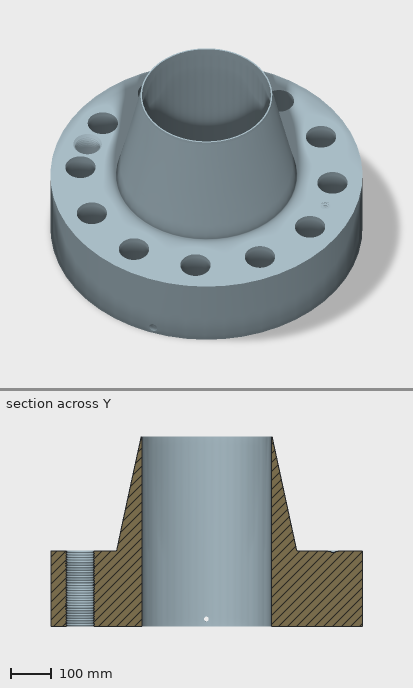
import cadquery as cq

flange_diameter = 762.0
flange_height = 185.0

total_height = 463.0
neck_diameter = 324.0
neck_tip_diameter = 321.5
neck_length = 7.0
bore_diameter = 315.0
hub_base_diameter = 441.0
hub_base_fillet = 2.0

pitch_radius = 308.5
bolt_count = 12
bolt_hole_diameter = 74.0
bolt_spacing = 360 / bolt_count

jack_major_diameter = 69.0
jack_minor_diameter = 62.5
jack_ring_count = 30
jack_thread_pitch = flange_height / jack_ring_count

plug_steps = [(26.0, 1.0), (21.0, 1.5), (10.0, 3.0)]

tap_height = 18.0
tap_hole_diameter = 11.5
tap_major_diameter = 21.0
tap_minor_diameter = 17.5
tap_thread_pitch = 2.0
tap_ring_count = 8


def make_body():
    """Revolve the flange, the tapered hub and the weld neck around Z."""
    bore_radius = bore_diameter / 2
    body = (
        cq.Workplane("XZ")
        .moveTo(bore_radius, 0)
        .lineTo(flange_diameter / 2, 0)
        .lineTo(flange_diameter / 2, flange_height)
        .lineTo(hub_base_diameter / 2, flange_height)
        .lineTo(neck_diameter / 2, total_height - neck_length)
        .lineTo(neck_tip_diameter / 2, total_height)
        .lineTo(bore_radius, total_height)
        .close()
        .revolve(360, (0, 0, 0), (0, 1, 0))
    )
    hub_corner = cq.selectors.RadiusNthSelector(-2)
    return body.edges("%CIRCLE").edges(hub_corner).fillet(hub_base_fillet)


def make_bolt_holes():
    """Full circle of through holes, straddling the X axis."""
    return (
        cq.Workplane("XY")
        .polarArray(pitch_radius, bolt_spacing / 2, 360, bolt_count)
        .circle(bolt_hole_diameter / 2)
        .extrude(flange_height)
    )


def make_thread(major_diameter, minor_diameter, pitch, ring_count):
    """Cutter with ring-shaped thread teeth, running down from its widest end at Z = 0."""
    major = major_diameter / 2
    minor = minor_diameter / 2
    profile = cq.Workplane("XZ").lineTo(major, 0)
    for ring in range(ring_count):
        ring_top = -ring * pitch
        profile = profile.lineTo(minor, ring_top - pitch / 2).lineTo(major, ring_top - pitch)
    profile = profile.lineTo(0, -ring_count * pitch).close()
    return profile.revolve(360, (0, 0, 0), (0, 1, 0))


def make_jack_screw_hole():
    thread = make_thread(jack_major_diameter, jack_minor_diameter, jack_thread_pitch, jack_ring_count)
    return thread.translate((-pitch_radius, 0, flange_height))


def make_plug_recess():
    """Concentric shallow steps sunk into the top face of the flange."""
    recess = cq.Workplane("XY")
    for diameter, depth in plug_steps:
        step = cq.Workplane("XY").circle(diameter / 2).extrude(-depth)
        recess = recess.union(step)
    return recess.translate((pitch_radius, 0, flange_height))


def make_radial_taps():
    """Hole along Y through both flange walls, threaded at each outer mouth."""
    taps = (
        cq.Workplane("XZ")
        .circle(tap_hole_diameter / 2)
        .extrude(flange_diameter / 2, both=True)
    )
    thread = make_thread(tap_major_diameter, tap_minor_diameter, tap_thread_pitch, tap_ring_count)
    for tilt, side in ((90, -1), (-90, 1)):
        mouth = thread.rotate((0, 0, 0), (1, 0, 0), tilt)
        taps = taps.union(mouth.translate((0, side * flange_diameter / 2, 0)))
    return taps.translate((0, 0, tap_height))


result = (
    make_body()
    .cut(make_bolt_holes())
    .cut(make_jack_screw_hole())
    .cut(make_plug_recess())
    .cut(make_radial_taps())
)